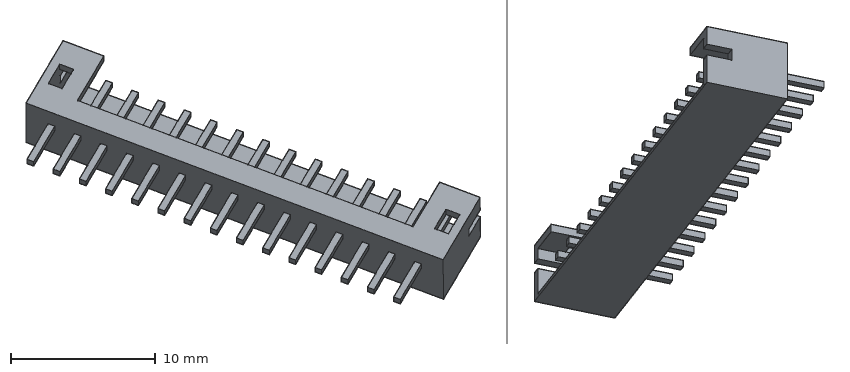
import cadquery as cq

LENGTH = 31.9
DEPTH = 6.0
HEIGHT = 4.5
END_TAPER = 0.03
FRONT_WALL = 1.72
END_WALL = 0.67
FLOOR = 0.25
ROOF = 0.6

ROOF_ARM = 3.13
WINDOW_LENGTH = 1.05
WINDOW_DEPTH = 1.85
WINDOW_INSET = 1.95

SLOT_DEPTH = 1.85
SLOT_BOTTOM = 2.2
SLOT_TOP = 3.05
RIGHT_SLOT_RISE = 0.1

PIN_COUNT = 15
PIN_SPAN = 28.0
PIN_SIZE = 0.5
PIN_HEIGHT = 2.85
PIN_TAIL = 3.4
PIN_TIP_INSET = 0.9

LEFT = -LENGTH / 2
RIGHT = LENGTH / 2
BACK = DEPTH


def block(x_range, y_range, z_range):
    """Axis-aligned box between the given pairs of limits."""
    (x0, x1), (y0, y1), (z0, z1) = x_range, y_range, z_range
    return cq.Workplane("XY").box(x1 - x0, y1 - y0, z1 - z0, centered=False).translate((x0, y0, z0))


def make_shell():
    """Outer box with one tapered end, hollowed from the back."""
    end_profile = [(LEFT, 0), (RIGHT, 0), (RIGHT - END_TAPER, HEIGHT), (LEFT, HEIGHT)]
    outer = cq.Workplane("XZ").polyline(end_profile).close().extrude(-DEPTH)
    cavity = block(
        (LEFT + END_WALL, RIGHT - END_WALL),
        (FRONT_WALL, BACK),
        (FLOOR, HEIGHT - ROOF),
    )
    return outer.cut(cavity)


def cut_roof(body):
    """Large cutout over the pins and a window beside each end wall."""
    roof_range = (HEIGHT - ROOF, HEIGHT)
    body = body.cut(block((LEFT + ROOF_ARM, RIGHT - ROOF_ARM), (FRONT_WALL, BACK), roof_range))
    window_y = (BACK - WINDOW_INSET - WINDOW_DEPTH, BACK - WINDOW_INSET)
    left_start = LEFT + END_WALL
    right_end = RIGHT - END_WALL
    for x_range in (
        (left_start, left_start + WINDOW_LENGTH),
        (right_end - WINDOW_LENGTH, right_end),
    ):
        body = body.cut(block(x_range, window_y, roof_range))
    return body


def cut_end_slots(body):
    """A slot through each end wall, running in from the back."""
    slot_y = (BACK - SLOT_DEPTH, BACK)
    left_slot = block((LEFT, LEFT + END_WALL), slot_y, (SLOT_BOTTOM, SLOT_TOP))
    right_slot = block(
        (RIGHT - END_WALL, RIGHT),
        slot_y,
        (SLOT_BOTTOM + RIGHT_SLOT_RISE, SLOT_TOP),
    )
    return body.cut(left_slot).cut(right_slot)


def add_pins(body):
    """Row of square pins passing through the front wall."""
    pitch = PIN_SPAN / (PIN_COUNT - 1)
    half = PIN_SIZE / 2
    for index in range(PIN_COUNT):
        x = -PIN_SPAN / 2 + index * pitch
        pin = block(
            (x - half, x + half),
            (-PIN_TAIL, BACK - PIN_TIP_INSET),
            (PIN_HEIGHT - half, PIN_HEIGHT + half),
        )
        body = body.union(pin)
    return body


result = add_pins(cut_end_slots(cut_roof(make_shell())))